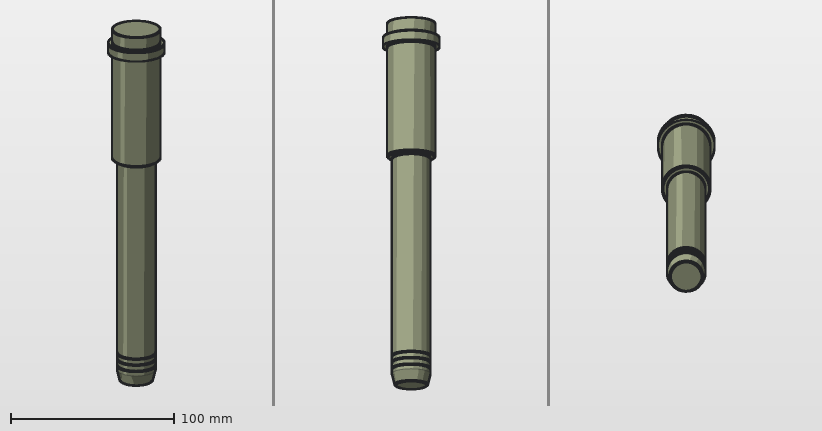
import cadquery as cq

TOTAL_LENGTH = 230.0
COLLAR_DIAMETER = 35.0
SLEEVE_DIAMETER = 30.0
SHAFT_DIAMETER = 24.0
TIP_DIAMETER = 20.2

TAPER_HEIGHT = 7.4
SHAFT_TOP = TOTAL_LENGTH - 86.2
SLEEVE_BOTTOM = TOTAL_LENGTH - 85.0
COLLAR_TOP = TOTAL_LENGTH - 9.0
COLLAR_HEIGHT = 6.0
COLLAR_BOTTOM = COLLAR_TOP - COLLAR_HEIGHT

NECK_DEPTH = 0.5
NECK_DIAMETER = SHAFT_DIAMETER - 2 * NECK_DEPTH

SLEEVE_TOP_CHAMFER = 0.5
SLEEVE_BOTTOM_CHAMFER = 1.0
COLLAR_CHAMFER = 0.5
TIP_CHAMFER = 0.7

GROOVE_DEPTH = 0.5
GROOVE_WIDTH = 2 * GROOVE_DEPTH
SHAFT_GROOVE_HEIGHTS = (10.4, 14.5, 18.5)
SLEEVE_GROOVE_HEIGHTS = (
    COLLAR_BOTTOM - GROOVE_WIDTH / 2,
    COLLAR_TOP + GROOVE_WIDTH / 2,
)


def make_cylinder(diameter, bottom, top):
    """Cylinder on the Z axis between two heights."""
    return cq.Workplane("XY", origin=(0, 0, bottom)).circle(diameter / 2).extrude(top - bottom)


def cut_v_grooves(body, diameter, heights):
    """Cut a V-groove around a cylindrical body at each of the given heights."""
    radius = diameter / 2
    for height in heights:
        ring = (
            cq.Workplane("XZ")
            .moveTo(radius, height - GROOVE_WIDTH / 2)
            .lineTo(radius - GROOVE_DEPTH, height)
            .lineTo(radius, height + GROOVE_WIDTH / 2)
            .close()
            .revolve(360, (0, 0, 0), (0, 1, 0))
        )
        body = body.cut(ring)
    return body


def make_shaft():
    """Long shaft with a tapered, chamfered tip and three V-grooves."""
    shaft = (
        cq.Workplane("XZ")
        .lineTo(TIP_DIAMETER / 2, 0)
        .lineTo(SHAFT_DIAMETER / 2, TAPER_HEIGHT)
        .lineTo(SHAFT_DIAMETER / 2, SHAFT_TOP)
        .lineTo(0, SHAFT_TOP)
        .close()
        .revolve(360, (0, 0, 0), (0, 1, 0))
    )
    shaft = shaft.faces("<Z").edges().chamfer(TIP_CHAMFER)
    return cut_v_grooves(shaft, SHAFT_DIAMETER, SHAFT_GROOVE_HEIGHTS)


def make_sleeve():
    """Thicker upper part, chamfered at both ends and grooved beside the collar."""
    sleeve = make_cylinder(SLEEVE_DIAMETER, SLEEVE_BOTTOM, TOTAL_LENGTH)
    sleeve = sleeve.faces("<Z").edges().chamfer(SLEEVE_BOTTOM_CHAMFER)
    sleeve = sleeve.faces(">Z").edges().chamfer(SLEEVE_TOP_CHAMFER)
    return cut_v_grooves(sleeve, SLEEVE_DIAMETER, SLEEVE_GROOVE_HEIGHTS)


def make_collar():
    """Flange around the sleeve with a chamfered upper rim."""
    collar = make_cylinder(COLLAR_DIAMETER, COLLAR_BOTTOM, COLLAR_TOP)
    return collar.faces(">Z").edges().chamfer(COLLAR_CHAMFER)


neck = make_cylinder(NECK_DIAMETER, SHAFT_TOP, SLEEVE_BOTTOM)
result = make_shaft().union(neck).union(make_sleeve()).union(make_collar())